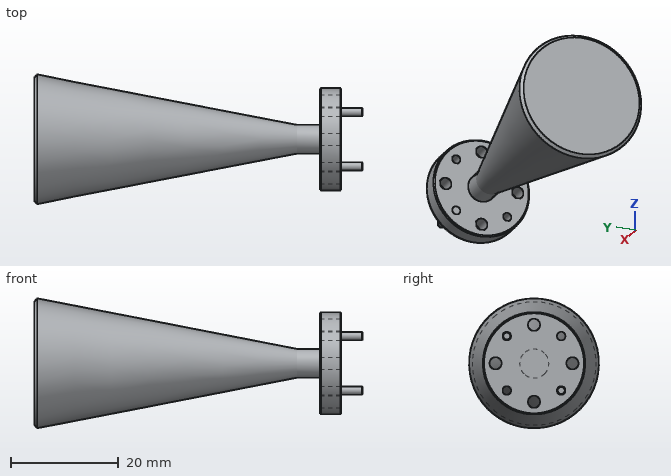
import cadquery as cq
import math

TOTAL_LENGTH = 61.02
HORN_RADIUS = 24.16 / 2
HORN_CHAMFER = 0.6
CONE_END = 48.8

NECK_RADIUS = 2.7

FLANGE_RADIUS = 19.05 / 2
FLANGE_THICKNESS = 4.0
PIN_PROTRUSION = 3.95
FLANGE_END = TOTAL_LENGTH - PIN_PROTRUSION
FLANGE_START = FLANGE_END - FLANGE_THICKNESS
FLANGE_CHAMFER = 0.25

BOLT_CIRCLE_RADIUS = 14.29 / 2
SCREW_HOLE_RADIUS = 2.26 / 2
ALIGNMENT_HOLE_RADIUS = 1.6 / 2
SCREW_HOLE_ANGLES = (0, 90, 180, 270)
ALIGNMENT_HOLE_ANGLES = (45, 225)
PIN_ANGLES = (135, 315)

PIN_RADIUS = 1.58 / 2
PIN_CHAMFER = 0.15


def bolt_circle_points(angles):
    """(Y, Z) positions on the bolt circle, with angles measured from +Y toward +Z."""
    return [
        (
            BOLT_CIRCLE_RADIUS * math.cos(math.radians(angle)),
            BOLT_CIRCLE_RADIUS * math.sin(math.radians(angle)),
        )
        for angle in angles
    ]


def revolve_about_x(profile):
    """Turn an (X, radius) outline, closed along the X axis, into a solid."""
    return cq.Workplane("XZ").polyline(profile).close().revolve(360, (0, 0, 0), (1, 0, 0))


def flange_drills(radius, angles):
    """Cylinders that pass through the whole flange thickness."""
    return (
        cq.Workplane("YZ", origin=(FLANGE_START, 0, 0))
        .pushPoints(bolt_circle_points(angles))
        .circle(radius)
        .extrude(FLANGE_THICKNESS)
    )


def make_horn():
    """Conical horn, neck and drilled flange as one turned body."""
    flange_face_radius = FLANGE_RADIUS - FLANGE_CHAMFER
    horn = revolve_about_x([
        (0, 0),
        (0, HORN_RADIUS - HORN_CHAMFER),
        (HORN_CHAMFER, HORN_RADIUS),
        (CONE_END, NECK_RADIUS),
        (FLANGE_START, NECK_RADIUS),
        (FLANGE_START, flange_face_radius),
        (FLANGE_START + FLANGE_CHAMFER, FLANGE_RADIUS),
        (FLANGE_END - FLANGE_CHAMFER, FLANGE_RADIUS),
        (FLANGE_END, flange_face_radius),
        (FLANGE_END, 0),
    ])
    horn = horn.cut(flange_drills(SCREW_HOLE_RADIUS, SCREW_HOLE_ANGLES))
    horn = horn.cut(flange_drills(ALIGNMENT_HOLE_RADIUS, ALIGNMENT_HOLE_ANGLES))
    return horn.cut(flange_drills(PIN_RADIUS, PIN_ANGLES))


def make_pin(y, z):
    """Alignment pin through the flange, with a chamfered free tip."""
    pin = revolve_about_x([
        (FLANGE_START, 0),
        (FLANGE_START, PIN_RADIUS),
        (TOTAL_LENGTH - PIN_CHAMFER, PIN_RADIUS),
        (TOTAL_LENGTH, PIN_RADIUS - PIN_CHAMFER),
        (TOTAL_LENGTH, 0),
    ])
    return pin.translate((0, y, z))


horn = make_horn()
pins = [make_pin(y, z) for y, z in bolt_circle_points(PIN_ANGLES)]

result = cq.Compound.makeCompound([horn.val(), *[pin.val() for pin in pins]])